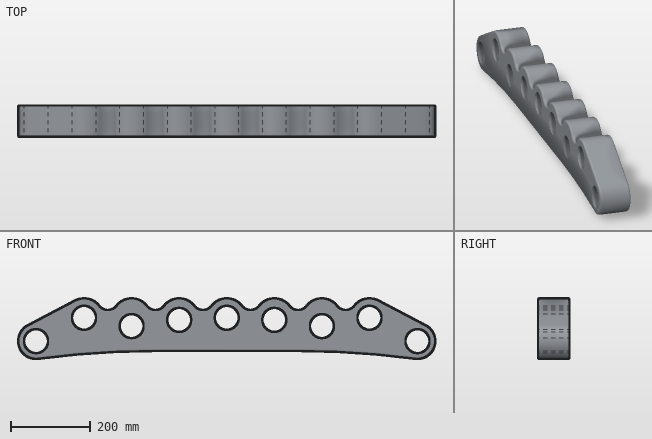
import cadquery as cq
import math

length = 1055.0
thickness = 80.0
height = 154.0
pitch = 120.0
end_radius = 45.0
crest_radius = 49.0
valley_drop = 30.0
flat_half_length = 181.0
flat_height = 20.0
edge_round = 5.0
hole_diameter = 60.0

hole_heights = [104.0, 99.0, 83.0, 104.0, end_radius]
outer_crest = 3

end_x = length / 2 - end_radius
end_z = end_radius
crest_z = height - crest_radius
outer_crest_x = outer_crest * pitch


def point_on_circle(x, z, radius, angle):
    return (x + radius * math.cos(angle), z + radius * math.sin(angle))


def mirrored(point):
    return (-point[0], point[1])


run = end_x - outer_crest_x
rise = crest_z - end_z
radius_step = math.asin((crest_radius - end_radius) / math.hypot(run, rise))
shoulder_normal = math.pi / 2 - math.atan2(rise, run) - radius_step
shoulder_top = point_on_circle(outer_crest_x, crest_z, crest_radius, shoulder_normal)
shoulder_foot = point_on_circle(end_x, end_z, end_radius, shoulder_normal)

reach = end_x - flat_half_length
offset = end_z - flat_height
under_radius = (reach**2 + offset**2 - end_radius**2) / (2 * (end_radius - offset))
under_z = flat_height - under_radius
under_angle = math.atan2(end_z - under_z, reach)
under_end = point_on_circle(flat_half_length, under_z, under_radius, under_angle)
under_middle = point_on_circle(flat_half_length, under_z, under_radius, (under_angle + math.pi / 2) / 2)
end_tip = (length / 2, end_z)

half_pitch = pitch / 2
crest_to_valley = (half_pitch**2 + valley_drop**2) / (2 * valley_drop)
flank_angle = math.acos(half_pitch / crest_to_valley)


def build_outline():
    outline = (
        cq.Workplane("XZ")
        .moveTo(-flat_half_length, flat_height)
        .lineTo(flat_half_length, flat_height)
        .threePointArc(under_middle, under_end)
        .threePointArc(end_tip, shoulder_foot)
        .lineTo(*shoulder_top)
    )
    for index in range(outer_crest, -outer_crest, -1):
        x = index * pitch
        crest_end = point_on_circle(x, crest_z, crest_radius, math.pi - flank_angle)
        next_crest_start = point_on_circle(x - pitch, crest_z, crest_radius, flank_angle)
        outline = outline.threePointArc((x, height), crest_end)
        outline = outline.threePointArc((x - half_pitch, height - valley_drop), next_crest_start)
    return (
        outline.threePointArc((-outer_crest_x, height), mirrored(shoulder_top))
        .lineTo(*mirrored(shoulder_foot))
        .threePointArc(mirrored(end_tip), mirrored(under_end))
        .threePointArc(mirrored(under_middle), (-flat_half_length, flat_height))
        .close()
    )


def build_holes():
    places = [(index * pitch, z) for index, z in enumerate(hole_heights[:-1])]
    places.append((end_x, hole_heights[-1]))
    places += [mirrored(place) for place in places[1:]]
    return (
        cq.Workplane("XZ")
        .pushPoints(places)
        .circle(hole_diameter / 2)
        .extrude(thickness / 2, both=True)
    )


plate = build_outline().extrude(thickness / 2, both=True)
plate = plate.faces("<Y or >Y").edges().fillet(edge_round)
result = plate.cut(build_holes())